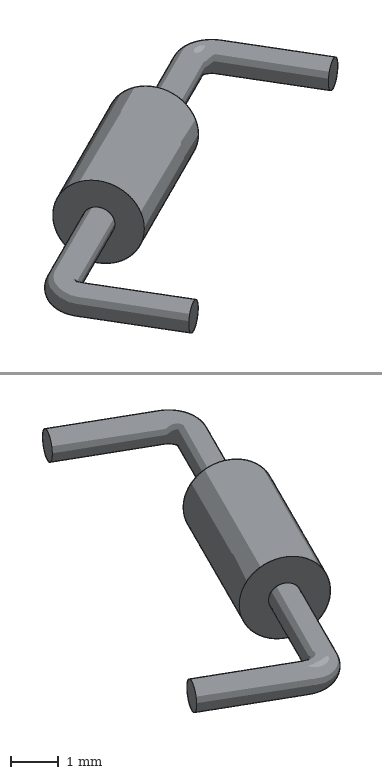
import cadquery as cq

span = 11.17
body_diameter = 2.0
body_length = 4.07
band_length = 1.07
wire_diameter = 0.71
bend_radius = 0.5
leg_reach = 3.0

leg_y = (span - wire_diameter) / 2
body_end = body_length / 2
band_start = body_end - band_length


def cylinder_along_y(diameter, y_start, y_end):
    """Solid cylinder on the Y axis between two Y positions."""
    plane = cq.Workplane("XZ", origin=(0, y_start, 0))
    return plane.circle(diameter / 2).extrude(y_start - y_end)


def bent_wire():
    """Wire through the body with both ends bent towards +X."""
    bend_y = leg_y - bend_radius
    path = (
        cq.Workplane("XY")
        .moveTo(leg_reach, -leg_y)
        .lineTo(bend_radius, -leg_y)
        .radiusArc((0, -bend_y), bend_radius)
        .lineTo(0, bend_y)
        .radiusArc((bend_radius, leg_y), bend_radius)
        .lineTo(leg_reach, leg_y)
    )
    tip = cq.Workplane("YZ", origin=(leg_reach, -leg_y, 0))
    return tip.circle(wire_diameter / 2).sweep(path)


main_body = cylinder_along_y(body_diameter, -body_end, band_start)
band = cylinder_along_y(body_diameter, band_start, body_end)

result = main_body.union(band, clean=False).union(bent_wire(), clean=False)